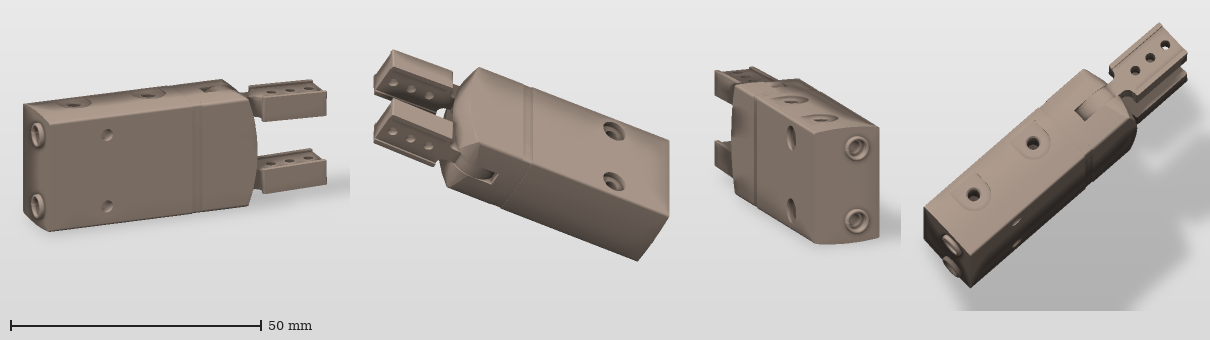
import cadquery as cq
import math


OVERALL_LENGTH = 62.05

WIDTH = 14.0
HEIGHT = 23.95
ARCH_RISE = 0.55
HOUSING_LENGTH = 30.9
HOUSING_EDGE_RADIUS = 0.5

NECK_INSET = 0.2
NECK_FRONT = 33.0
NECK_EDGE_RADIUS = 0.45

HEAD_HEIGHT = 23.8
HEAD_EDGE_RADIUS = 0.6
DOME_FRONT = 46.15
DOME_RADIUS_ACROSS = 20.5
DOME_RADIUS_UPRIGHT = 34.1
BROW_RADIUS = 4.95
BROW_CENTER_Y = 40.4
SLOT_REAR = 35.7

HOLE_DIAMETER = 2.5
MOUNT_SPACING = 15.0
HALF_SPACING = MOUNT_SPACING / 2
CROSS_HOLE_Y = 12.5
RECESS_DIAMETER = 5.0
RECESS_DEPTH = 1.3
SLEEVE_X = 2.0
SLEEVE_SEAT_DEPTH = 1.0
SLEEVE_BORE = 3.55
SLEEVE_PROTRUSION = 1.0
SLEEVE_SLIT = 0.2

PORT_X = -2.0
PORT_FIRST_Y = 9.0
PORT_SPACING = 16.0
PORT_FACE_RADIUS = 3.5
PORT_DEPTH = 4.95
PORT_CHAMFER = 0.3
DRILL_POINT_ANGLE = 118.0

PIVOT_Y = 39.9
PIVOT_Z = 6.65
HUB_RADIUS = 5.2
FINGER_SWING_DEGREES = 1.6
FINGER_REAR = 47.3
FINGER_WIDTH = 8.55
FINGER_TOP = 10.35
FINGER_HEIGHT = 5.1
FINGER_CORNER_RADIUS = 0.3
CHANNEL_WIDTH = 6.6
CHANNEL_DEPTH = 0.45
ARM_WIDTH = 3.15
ARM_FILLET = 1.5
FINGER_HOLE_DIAMETER = 2.0
FINGER_HOLE_COUNT = 3
FINGER_HOLE_PITCH = 4.05
FINGER_HOLE_FROM_TIP = 2.25

SWING = math.radians(FINGER_SWING_DEGREES)
TIP_REACH = OVERALL_LENGTH - SLEEVE_PROTRUSION - PIVOT_Y
TIP_HEIGHT = FINGER_TOP - PIVOT_Z
FINGER_TIP = PIVOT_Y + (TIP_REACH - TIP_HEIGHT * math.sin(SWING)) / math.cos(SWING)


def arched_block(width, height, y_rear, y_front, edge_radius):
    """Block along Y whose top and bottom bulge, with rounded long edges."""
    x = width / 2
    z_crown = height / 2
    z_side = z_crown - ARCH_RISE
    return (
        cq.Workplane("XZ", origin=(0, y_rear, 0))
        .moveTo(-x, -z_side)
        .threePointArc((0, -z_crown), (x, -z_side))
        .lineTo(x, z_side)
        .threePointArc((0, z_crown), (-x, z_side))
        .close()
        .extrude(y_rear - y_front)
        .edges("|Y")
        .fillet(edge_radius)
    )


def cylinder_y(diameter, x, z, y_rear, y_front):
    """Cylinder along Y."""
    return cq.Workplane("XZ", origin=(x, y_rear, z)).circle(diameter / 2).extrude(y_rear - y_front)


def make_upper_hub():
    """Round pivot end of the upper finger arm."""
    pivot = cq.Workplane("YZ", origin=(0, PIVOT_Y, PIVOT_Z))
    return pivot.circle(HUB_RADIUS).extrude(ARM_WIDTH / 2, both=True)


def make_head():
    """Domed front end with the slot that holds the finger arms."""
    block = arched_block(WIDTH, HEAD_HEIGHT, NECK_FRONT, DOME_FRONT, HEAD_EDGE_RADIUS)

    half = HEIGHT / 2
    r_end = DOME_RADIUS_ACROSS - DOME_RADIUS_UPRIGHT + math.sqrt(DOME_RADIUS_UPRIGHT**2 - half**2)
    dome = (
        cq.Workplane("XZ")
        .moveTo(0, -half)
        .lineTo(r_end, -half)
        .threePointArc((DOME_RADIUS_ACROSS, 0), (r_end, half))
        .lineTo(0, half)
        .close()
        .revolve(360, (0, 0), (0, 1))
        .translate((0, DOME_FRONT - DOME_RADIUS_ACROSS, 0))
    )
    head = block.intersect(dome)

    corner = cq.Workplane("XY").box(WIDTH, BROW_RADIUS, BROW_RADIUS, centered=(True, False, False))
    barrel = cq.Workplane("YZ").circle(BROW_RADIUS).extrude(WIDTH / 2, both=True)
    brow = corner.cut(barrel).translate((0, BROW_CENTER_Y, HEAD_HEIGHT / 2 - BROW_RADIUS))
    head = head.cut(brow).cut(brow.mirror("XY"))

    slot_length = DOME_FRONT - SLOT_REAR
    slot = cq.Workplane("XY").box(ARM_WIDTH, slot_length, HEIGHT, centered=(True, False, True))
    head = head.cut(slot.translate((0, SLOT_REAR, 0)))

    upper_pocket = make_upper_hub()
    return head.cut(upper_pocket).cut(upper_pocket.mirror("XY"))


def make_mount_holes(z):
    """Cross hole with a side recess, met by a second hole from the rear with a sleeve seat."""
    left = -WIDTH / 2
    cross = cq.Workplane("YZ", origin=(left, CROSS_HOLE_Y, z))
    cross_hole = cross.circle(HOLE_DIAMETER / 2).extrude(WIDTH)
    side_recess = cross.circle(RECESS_DIAMETER / 2).extrude(RECESS_DEPTH)
    rear_hole = cylinder_y(HOLE_DIAMETER, SLEEVE_X, z, 0, CROSS_HOLE_Y)
    rear_seat = cylinder_y(RECESS_DIAMETER, SLEEVE_X, z, 0, SLEEVE_SEAT_DEPTH)
    return cross_hole.union(side_recess).union(rear_hole).union(rear_seat)


def make_port(y):
    """Flat D-shaped face cut into the arch, with a drilled and chamfered hole in its middle."""
    x_edge = PORT_X - PORT_FACE_RADIUS
    z_face = HEIGHT / 2 - ARCH_RISE * (x_edge / (WIDTH / 2)) ** 2
    face = (
        cq.Workplane("XY", origin=(PORT_X, y, z_face))
        .moveTo(-PORT_FACE_RADIUS, -PORT_FACE_RADIUS)
        .lineTo(0, -PORT_FACE_RADIUS)
        .threePointArc((PORT_FACE_RADIUS, 0), (0, PORT_FACE_RADIUS))
        .lineTo(-PORT_FACE_RADIUS, PORT_FACE_RADIUS)
        .close()
        .extrude(HEIGHT / 2 - z_face)
    )
    radius = HOLE_DIAMETER / 2
    point_depth = radius / math.tan(math.radians(DRILL_POINT_ANGLE / 2))
    drill = (
        cq.Workplane("XZ")
        .polyline([
            (0, 0),
            (radius + PORT_CHAMFER, 0),
            (radius, -PORT_CHAMFER),
            (radius, -PORT_DEPTH),
            (0, -PORT_DEPTH - point_depth),
        ])
        .close()
        .revolve(360, (0, 0), (0, 1))
        .translate((PORT_X, y, z_face))
    )
    return face.union(drill)


def make_housing():
    """Housing, neck and head in one piece."""
    housing = arched_block(WIDTH, HEIGHT, 0, HOUSING_LENGTH, HOUSING_EDGE_RADIUS)
    neck_width = WIDTH - 2 * NECK_INSET
    neck = arched_block(neck_width, HEAD_HEIGHT, HOUSING_LENGTH, NECK_FRONT, NECK_EDGE_RADIUS)
    housing = housing.union(neck).union(make_head())
    for z in (-HALF_SPACING, HALF_SPACING):
        housing = housing.cut(make_mount_holes(z))
    for y in (PORT_FIRST_Y, PORT_FIRST_Y + PORT_SPACING):
        housing = housing.cut(make_port(y))
    return housing


def make_sleeve(z):
    """Slit centering sleeve standing in its rear seat, with a fully rounded outer lip."""
    outer = RECESS_DIAMETER / 2
    inner = SLEEVE_BORE / 2
    lip_radius = (outer - inner) / 2
    y_lip = lip_radius - SLEEVE_PROTRUSION
    sleeve = (
        cq.Workplane("XY")
        .moveTo(-inner, SLEEVE_SEAT_DEPTH)
        .lineTo(-inner, y_lip)
        .threePointArc((-inner - lip_radius, -SLEEVE_PROTRUSION), (-outer, y_lip))
        .lineTo(-outer, SLEEVE_SEAT_DEPTH)
        .close()
        .revolve(360, (0, 0), (0, 1))
        .translate((SLEEVE_X, 0, z))
    )
    length = SLEEVE_PROTRUSION + SLEEVE_SEAT_DEPTH
    slit = cq.Workplane("XY").box(RECESS_DIAMETER, length, SLEEVE_SLIT, centered=(True, False, True))
    return sleeve.cut(slit.translate((SLEEVE_X - RECESS_DIAMETER / 2, -SLEEVE_PROTRUSION, z)))


def make_upper_finger():
    """Gripping end, arm and hub in one piece."""
    finger_bottom = FINGER_TOP - FINGER_HEIGHT
    arm_top = FINGER_TOP - CHANNEL_DEPTH
    arm_bottom = finger_bottom + CHANNEL_DEPTH
    half_arm = ARM_WIDTH / 2
    half_width = FINGER_WIDTH / 2

    finger = (
        cq.Workplane("XY", origin=(0, 0, finger_bottom))
        .moveTo(-half_width, FINGER_REAR)
        .lineTo(half_width, FINGER_REAR)
        .lineTo(half_width, FINGER_TIP)
        .lineTo(-half_width, FINGER_TIP)
        .close()
        .extrude(FINGER_HEIGHT)
        .edges("|Z")
        .fillet(FINGER_CORNER_RADIUS)
    )
    length = FINGER_TIP - FINGER_REAR
    channel = cq.Workplane("XY").box(CHANNEL_WIDTH, length, CHANNEL_DEPTH, centered=(True, False, False))
    for z in (arm_top, finger_bottom):
        finger = finger.cut(channel.translate((0, FINGER_REAR, z)))

    bend = ARM_FILLET * (1 - math.sqrt(0.5))
    y_flare = FINGER_REAR - ARM_FILLET
    arm = (
        cq.Workplane("XY", origin=(0, 0, arm_bottom))
        .moveTo(-half_arm, PIVOT_Y)
        .lineTo(half_arm, PIVOT_Y)
        .lineTo(half_arm, y_flare)
        .threePointArc((half_arm + bend, FINGER_REAR - bend), (half_arm + ARM_FILLET, FINGER_REAR))
        .lineTo(-half_arm - ARM_FILLET, FINGER_REAR)
        .threePointArc((-half_arm - bend, FINGER_REAR - bend), (-half_arm, y_flare))
        .close()
        .extrude(arm_top - arm_bottom)
    )
    finger = finger.union(arm).union(make_upper_hub())

    for index in range(FINGER_HOLE_COUNT):
        y = FINGER_TIP - FINGER_HOLE_FROM_TIP - index * FINGER_HOLE_PITCH
        hole = cq.Workplane("XY", origin=(0, y, finger_bottom)).circle(FINGER_HOLE_DIAMETER / 2)
        finger = finger.cut(hole.extrude(FINGER_HEIGHT))

    return finger.rotate((0, PIVOT_Y, PIVOT_Z), (1, PIVOT_Y, PIVOT_Z), -FINGER_SWING_DEGREES)


housing = make_housing()
sleeves = [make_sleeve(z) for z in (-HALF_SPACING, HALF_SPACING)]
upper_finger = make_upper_finger()
fingers = [upper_finger, upper_finger.mirror("XY")]

result = cq.Compound.makeCompound([housing.val(), *[body.val() for body in sleeves + fingers]])